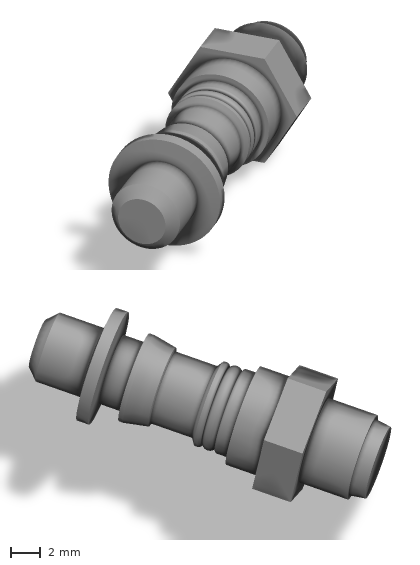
import cadquery as cq
import math


TUBE_RADIUS = 2.45
TUBE_END = 8.0
TIP_CHAMFER = 0.75

WASHER_START = 4.0
WASHER_THICKNESS = 1.3
WASHER_RIM_THICKNESS = 0.85
WASHER_RADIUS = 4.0
WASHER_INNER_RADIUS = 2.55

RING_START = 6.9
RING_RIM_LENGTH = 0.35
RING_LENGTH = 2.1
RING_REAR_TAPER = 0.1
RING_LARGE_RADIUS = 3.12
RING_SMALL_RADIUS = 2.8

NECK_RADIUS = 2.55
NECK_END = 11.95

LAND_RADIUS = 3.0
LAND_CHAMFER_LENGTH = 0.3
LAND_END = 14.7
GROOVE_START = 12.7
GROOVE_END = 13.66
GROOVE_EDGE_ROUND = 0.22
O_RING_SECTION_RADIUS = 0.5

COLLAR_RADIUS = 3.5
HEX_START = 17.0
HEX_LENGTH = 2.75
HEX_ACROSS_FLATS = 8.0
SPIGOT_RADIUS = 3.0
SPIGOT_END = 23.2
REAR_END = 24.3
REAR_BASE_RADIUS = 2.7
REAR_END_RADIUS = 2.55


def turned(outline):
    """Revolve (radius, y) points, closed along the axis, about Y."""
    axis_start = (0, outline[0][1])
    axis_end = (0, outline[-1][1])
    profile = cq.Workplane("XY").polyline([axis_start, *outline, axis_end]).close()
    return profile.revolve(360, (0, 0, 0), (0, 1, 0))


def cylinder(radius, start, end):
    return turned([(radius, start), (radius, end)])


def make_tube():
    return turned([
        (TUBE_RADIUS - TIP_CHAMFER, 0),
        (TUBE_RADIUS, TIP_CHAMFER),
        (TUBE_RADIUS, TUBE_END),
    ])


def make_washer():
    taper = (WASHER_THICKNESS - WASHER_RIM_THICKNESS) / 2
    end = WASHER_START + WASHER_THICKNESS
    return turned([
        (WASHER_INNER_RADIUS, WASHER_START),
        (WASHER_RADIUS, WASHER_START + taper),
        (WASHER_RADIUS, end - taper),
        (WASHER_INNER_RADIUS, end),
    ])


def make_cutting_ring():
    return turned([
        (RING_LARGE_RADIUS, RING_START),
        (RING_LARGE_RADIUS, RING_START + RING_RIM_LENGTH),
        (RING_SMALL_RADIUS, RING_START + RING_LENGTH - RING_REAR_TAPER),
        (NECK_RADIUS, RING_START + RING_LENGTH),
    ])


def make_neck():
    return cylinder(NECK_RADIUS, RING_START, NECK_END)


def make_seal_land():
    """Land with a round-edged groove filled by an O-ring bead flush with its surface."""
    groove_floor = LAND_RADIUS - O_RING_SECTION_RADIUS
    edge_radius = LAND_RADIUS - GROOVE_EDGE_ROUND
    front_round_start = GROOVE_START - GROOVE_EDGE_ROUND
    rear_round_end = GROOVE_END + GROOVE_EDGE_ROUND
    diagonal = GROOVE_EDGE_ROUND * math.sqrt(0.5)
    front_middle = (edge_radius + diagonal, front_round_start + diagonal)
    rear_middle = (edge_radius + diagonal, rear_round_end - diagonal)
    land = (
        cq.Workplane("XY")
        .moveTo(0, NECK_END)
        .lineTo(NECK_RADIUS, NECK_END)
        .lineTo(LAND_RADIUS, NECK_END + LAND_CHAMFER_LENGTH)
        .lineTo(LAND_RADIUS, front_round_start)
        .threePointArc(front_middle, (edge_radius, GROOVE_START))
        .lineTo(groove_floor, GROOVE_START)
        .lineTo(groove_floor, GROOVE_END)
        .lineTo(edge_radius, GROOVE_END)
        .threePointArc(rear_middle, (LAND_RADIUS, rear_round_end))
        .lineTo(LAND_RADIUS, LAND_END)
        .lineTo(0, LAND_END)
        .close()
        .revolve(360, (0, 0, 0), (0, 1, 0))
    )
    ring_middle = (GROOVE_START + GROOVE_END) / 2
    o_ring = (
        cq.Workplane("XY")
        .moveTo(groove_floor, ring_middle - O_RING_SECTION_RADIUS)
        .threePointArc(
            (LAND_RADIUS, ring_middle),
            (groove_floor, ring_middle + O_RING_SECTION_RADIUS),
        )
        .close()
        .revolve(360, (0, 0, 0), (0, 1, 0))
    )
    return land.union(o_ring)


def make_collar():
    return cylinder(COLLAR_RADIUS, LAND_END, HEX_START)


def make_hexagon():
    """Hexagon with flats facing +Z and -Z and corners on +X and -X."""
    across_corners = HEX_ACROSS_FLATS / math.cos(math.pi / 6)
    section = cq.Workplane("XZ", origin=(0, HEX_START, 0)).polygon(6, across_corners)
    return section.extrude(-HEX_LENGTH)


def make_rear_spigot():
    return turned([
        (SPIGOT_RADIUS, HEX_START + HEX_LENGTH),
        (SPIGOT_RADIUS, SPIGOT_END),
        (REAR_BASE_RADIUS, SPIGOT_END),
        (REAR_END_RADIUS, REAR_END),
    ])


result = (
    make_tube()
    .union(make_washer())
    .union(make_cutting_ring())
    .union(make_neck())
    .union(make_seal_land())
    .union(make_collar())
    .union(make_hexagon())
    .union(make_rear_spigot())
)